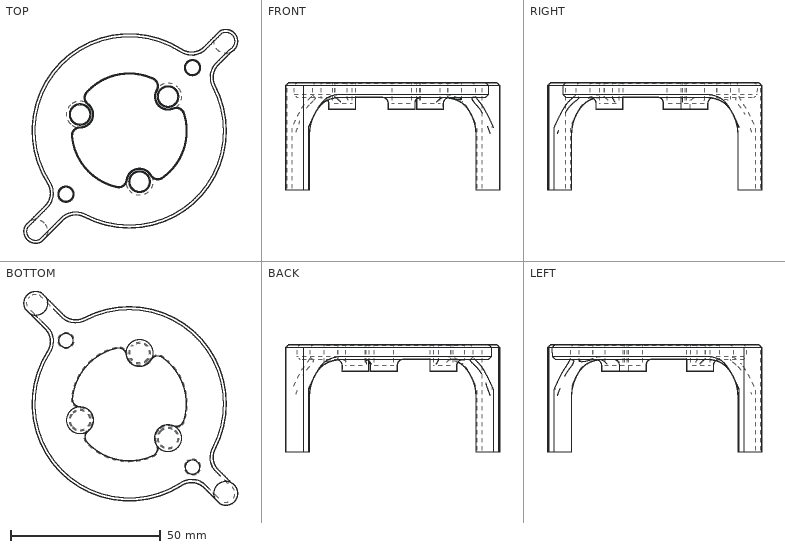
import cadquery as cq
import math

TOTAL_HEIGHT = 36.0
PLATE_THICKNESS = 5.0
BOSS_HEIGHT = 9.0
BOSS_HOLE_DEPTH = 7.0

DISC_RADIUS = 32.5
WINDOW_RADIUS = 19.05
WINDOW_CORNER_RADIUS = 2.5

BOSS_DIAMETER = 9.0
BOSS_HOLE_DIAMETER = 6.5
BOSS_CIRCLE_RADIUS = 17.35
BOSS_COUNT = 3
FIRST_BOSS_ANGLE = 41.5
BOSS_FLARE_RADIUS = 2.0

ARM_ANGLE = 45
ARM_OFFSET = -1.65
ARM_WIDTH = 7.7
ARM_CORNER_RADIUS = 6.0
LEG_RADIUS = 4.0
OVERALL_WIDTH = 71.65
LEG_SPACING = (OVERALL_WIDTH - 2 * LEG_RADIUS) * math.sqrt(2)
LEG_REACH = 44.05
LEG_POSITIONS = [LEG_REACH, LEG_REACH - LEG_SPACING]
LEG_FLARE_RADIUS = 12.0

BOLT_HOLE_DIAMETER = 4.7
BOLT_HOLE_REACH = 29.95

RIM_CHAMFER = 1.0
INNER_CHAMFER = 0.35




def cylinder(x, y, radius, height):
    """Upright cylinder hanging down from the top face."""
    return cq.Workplane("XY").center(x, y).circle(radius).extrude(-height)


def flare(x, y, shaft_radius, flare_radius):
    """Solid collar with a concave quarter-round that blends a shaft into the underside of the plate."""
    outer_radius = shaft_radius + flare_radius
    bottom = -PLATE_THICKNESS - flare_radius
    arc_offset = flare_radius * math.sqrt(0.5)
    profile = (
        cq.Workplane("XZ")
        .lineTo(outer_radius, 0)
        .lineTo(outer_radius, -PLATE_THICKNESS)
        .threePointArc((outer_radius - arc_offset, bottom + arc_offset), (shaft_radius, bottom))
        .lineTo(0, bottom)
        .close()
    )
    return profile.revolve(360, (0, 0, 0), (0, 1, 0)).translate((x, y, 0))


def rim_prism(height):
    """Disc with both arms, which end square at the leg axes and blend into the disc at their roots."""
    arms = (
        cq.Workplane("XY")
        .center(sum(LEG_POSITIONS) / 2, ARM_OFFSET)
        .rect(LEG_SPACING, ARM_WIDTH)
        .extrude(-height)
    )
    prism = cylinder(0, 0, DISC_RADIUS, height).union(arms)
    root_box = cq.selectors.BoxSelector(
        (-DISC_RADIUS, -ARM_WIDTH, -height), (DISC_RADIUS, ARM_WIDTH, 0)
    )
    return prism.edges("|Z").edges(root_box).fillet(ARM_CORNER_RADIUS)


def plate_with_arms():
    """Solid plate whose arms curve down into the legs, chamfered all round its outline."""
    plate = rim_prism(PLATE_THICKNESS)
    outline = rim_prism(TOTAL_HEIGHT)
    for x in LEG_POSITIONS:
        arch = flare(x, ARM_OFFSET, LEG_RADIUS, LEG_FLARE_RADIUS)
        plate = plate.union(arch.intersect(outline))
    plate = plate.faces(">Z").edges("not |Y").chamfer(RIM_CHAMFER)
    for disc_wall in ("<Y", ">Y"):
        plate = plate.faces(disc_wall).edges("<Z").chamfer(RIM_CHAMFER)
    return plate


def leg(x, flat_sides):
    """Round leg with a chamfered top; each flat side is level with the side of its arm."""
    post = cylinder(x, ARM_OFFSET, LEG_RADIUS, TOTAL_HEIGHT).faces(">Z").chamfer(RIM_CHAMFER)
    for side in flat_sides:
        flat = ARM_OFFSET + side * ARM_WIDTH / 2
        beyond = ARM_OFFSET + side * LEG_RADIUS * 2
        slab = (
            cq.Workplane("YZ")
            .moveTo(flat, -TOTAL_HEIGHT)
            .lineTo(flat, -RIM_CHAMFER)
            .lineTo(flat - side * RIM_CHAMFER, 0)
            .lineTo(beyond, 0)
            .lineTo(beyond, -TOTAL_HEIGHT)
            .close()
            .extrude(LEG_RADIUS, both=True)
            .translate((x, 0, 0))
        )
        post = post.cut(slab)
    return post


def find_boss_centres():
    """Evenly spaced boss axes, with angles taken from the arm direction."""
    centres = []
    for i in range(BOSS_COUNT):
        angle = math.radians(FIRST_BOSS_ANGLE - ARM_ANGLE + i * 360 / BOSS_COUNT)
        centres.append((BOSS_CIRCLE_RADIUS * math.cos(angle), BOSS_CIRCLE_RADIUS * math.sin(angle)))
    return centres


def boss(x, y):
    """Solid boss with a flare under the plate."""
    post = cylinder(x, y, BOSS_DIAMETER / 2, BOSS_HEIGHT)
    return post.union(flare(x, y, BOSS_DIAMETER / 2, BOSS_FLARE_RADIUS))


def window_prism(boss_centres):
    """Round window that leaves the bosses standing, with rounded corners beside each of them."""
    prism = cylinder(0, 0, WINDOW_RADIUS, TOTAL_HEIGHT)
    for x, y in boss_centres:
        prism = prism.cut(cylinder(x, y, BOSS_DIAMETER / 2, TOTAL_HEIGHT))
    corner_box = cq.selectors.BoxSelector(
        (-WINDOW_RADIUS, -WINDOW_RADIUS, -TOTAL_HEIGHT), (WINDOW_RADIUS, WINDOW_RADIUS, 0)
    )
    return prism.edges("|Z").edges(corner_box).fillet(WINDOW_CORNER_RADIUS)


first_leg, second_leg = LEG_POSITIONS
body = plate_with_arms()
body = body.union(leg(first_leg, [1]))
body = body.union(leg(second_leg, [1, -1]))

boss_centres = find_boss_centres()
for x, y in boss_centres:
    body = body.union(boss(x, y))
body = body.cut(window_prism(boss_centres))
for x, y in boss_centres:
    body = body.cut(cylinder(x, y, BOSS_HOLE_DIAMETER / 2, BOSS_HOLE_DEPTH))

for x in (BOLT_HOLE_REACH, -BOLT_HOLE_REACH):
    body = body.cut(cylinder(x, 0, BOLT_HOLE_DIAMETER / 2, TOTAL_HEIGHT))

top_face = body.faces(">Z").val()
inner_edges = [edge for wire in top_face.innerWires() for edge in wire.Edges()]
body = body.newObject(inner_edges).chamfer(INNER_CHAMFER)

result = body.rotate((0, 0, 0), (0, 0, 1), ARM_ANGLE)